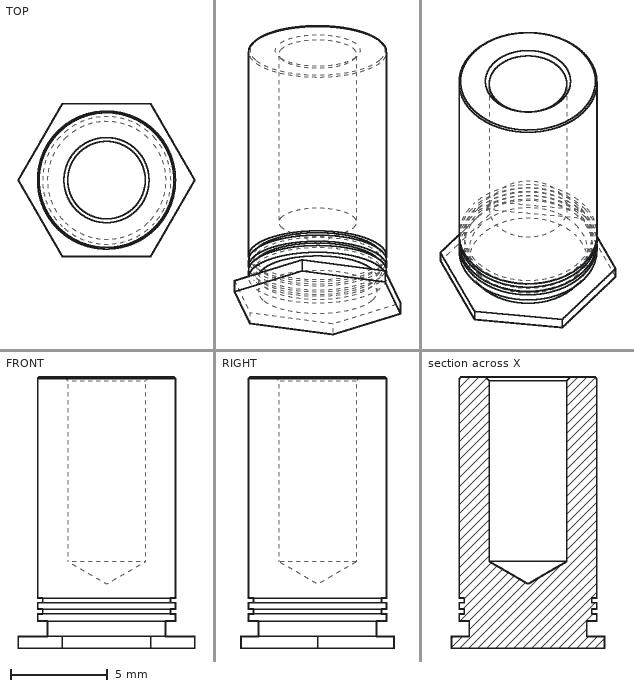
import cadquery as cq
import math

total_height = 14.0
across_flats = 7.9
across_corners = across_flats / math.cos(math.radians(30))

head_height = 0.62
neck_top = 1.4
lower_groove_bottom = 1.78
upper_groove_bottom = 2.35
groove_height = 0.24

body_diameter = 7.13
groove_diameter = 6.61
neck_diameter = 6.1
rim_chamfer = 0.08

bore_diameter = 4.0
bore_depth = 9.52
bore_chamfer = 0.2
drill_point_angle = 120.0


def cylinder(diameter, bottom, top):
    """Vertical cylinder on the part axis between two heights."""
    return cq.Workplane("XY").workplane(offset=bottom).circle(diameter / 2).extrude(top - bottom)


def ring_groove(bottom):
    """Ring of material to remove around the body."""
    return cylinder(body_diameter, bottom, bottom + groove_height).cut(
        cylinder(groove_diameter, bottom, bottom + groove_height)
    )


def bore():
    """Revolved blind hole with a chamfered mouth and a conical bottom."""
    radius = bore_diameter / 2
    wall_bottom = total_height - bore_depth
    tip = wall_bottom - radius / math.tan(math.radians(drill_point_angle / 2))
    profile = [
        (0, tip),
        (radius, wall_bottom),
        (radius, total_height - bore_chamfer),
        (radius + bore_chamfer, total_height),
        (0, total_height),
    ]
    return cq.Workplane("XZ").polyline(profile).close().revolve(360, (0, 0), (0, 1))


head = cq.Workplane("XY").polygon(6, across_corners).extrude(head_height)
neck = cylinder(neck_diameter, head_height, neck_top)
body = cylinder(body_diameter, neck_top, total_height).faces(">Z").edges().chamfer(rim_chamfer)

for groove_bottom in (lower_groove_bottom, upper_groove_bottom):
    body = body.cut(ring_groove(groove_bottom))

result = head.union(neck).union(body).cut(bore())